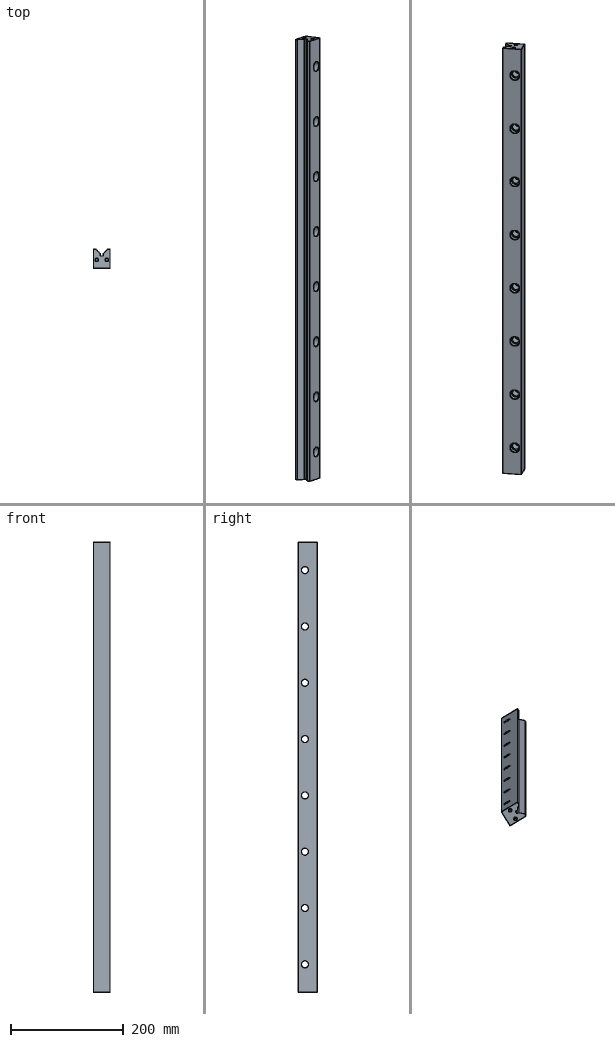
import cadquery as cq

WIDTH = 30.0
DEPTH = 34.0
LENGTH = 800.0
BACK_Y = -DEPTH / 2
FRONT_Y = DEPTH / 2

EDGE_CHAMFER = 0.4
END_CHAMFER = 0.5

RACEWAY_HALF_WIDTH = 10.5
RELIEF_HALF_WIDTH = 2.5
RELIEF_DEPTH = 12.0

HOLE_COUNT = 8
HOLE_PITCH = LENGTH / HOLE_COUNT
HOLE_Y = BACK_Y + 12.0
HOLE_DIAMETER = 12.0
BORE_DIAMETER = 16.5
BORE_DEPTH = 10.0

END_HOLE_Y = BACK_Y + 15.0
END_HOLE_SPACING = 18.0
END_HOLE_DIAMETER = 5.0
END_HOLE_DEPTH = 15.0

MOUTH_CHAMFER = 0.75


def rail_blank():
    """Rectangular bar with chamfered long edges and ends."""
    bar = cq.Workplane("XY").box(WIDTH, DEPTH, LENGTH, centered=(True, True, False))
    bar = bar.edges("|Z").chamfer(EDGE_CHAMFER)
    return bar.faces("<Z or >Z").edges().chamfer(END_CHAMFER)


def raceway():
    """90 degree V open to +Y, with a flat-bottomed relief slot at its root."""
    slot_top_y = FRONT_Y - (RACEWAY_HALF_WIDTH - RELIEF_HALF_WIDTH)
    slot_floor_y = FRONT_Y - RELIEF_DEPTH
    return (
        cq.Workplane("XY")
        .moveTo(-RACEWAY_HALF_WIDTH, FRONT_Y)
        .lineTo(-RELIEF_HALF_WIDTH, slot_top_y)
        .lineTo(-RELIEF_HALF_WIDTH, slot_floor_y)
        .lineTo(RELIEF_HALF_WIDTH, slot_floor_y)
        .lineTo(RELIEF_HALF_WIDTH, slot_top_y)
        .lineTo(RACEWAY_HALF_WIDTH, FRONT_Y)
        .close()
        .extrude(LENGTH)
    )


def chamfered_bore(start, direction, diameter, depth):
    """Cutter for a round bore from start along direction, with a chamfered mouth."""
    radius = diameter / 2
    bore = cq.Solid.makeCylinder(radius, depth, start, direction)
    mouth = cq.Solid.makeCone(radius + MOUTH_CHAMFER, radius, MOUTH_CHAMFER, start, direction)
    return bore.fuse(mouth)


def cut_mounting_holes(rail):
    """Row of through holes, each counterbored from the -X side."""
    inward = cq.Vector(1, 0, 0)
    for index in range(HOLE_COUNT):
        start = cq.Vector(-WIDTH / 2, HOLE_Y, HOLE_PITCH * (index + 0.5))
        rail = rail.cut(cq.Workplane(cq.Solid.makeCylinder(HOLE_DIAMETER / 2, WIDTH, start, inward)))
        rail = rail.cut(cq.Workplane(chamfered_bore(start, inward, BORE_DIAMETER, BORE_DEPTH)))
    return rail


def cut_end_holes(rail):
    """Two blind holes side by side in each end face."""
    for end_z, inward_z in ((0, 1), (LENGTH, -1)):
        for side in (-1, 1):
            start = cq.Vector(side * END_HOLE_SPACING / 2, END_HOLE_Y, end_z)
            inward = cq.Vector(0, 0, inward_z)
            rail = rail.cut(cq.Workplane(chamfered_bore(start, inward, END_HOLE_DIAMETER, END_HOLE_DEPTH)))
    return rail


result = rail_blank().cut(raceway())
result = cut_mounting_holes(result)
result = cut_end_holes(result).solids()